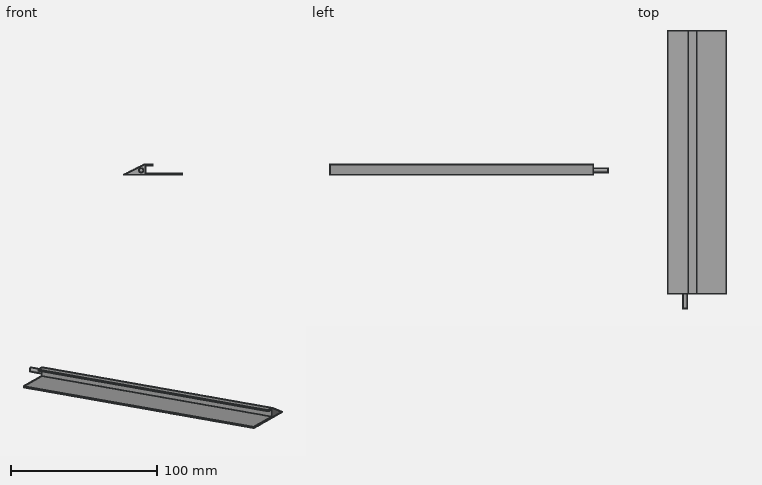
import cadquery as cq

total_length = 190.0
base_width = 40.0
height = 7.0
sheet_thickness = 1.0
ridge_x = 14.0
wall_x = 15.0
lip_end_x = 19.8
pin_diameter = 3.0
pin_length = 10.0
pin_x = 12.0
pin_z = 3.0

body_length = total_length - pin_length


def make_body():
    """Wedge with a long base flange and a short upper lip, extruded along Y."""
    lip_underside = height - sheet_thickness
    outline = [
        (0, 0),
        (base_width, 0),
        (base_width, sheet_thickness),
        (wall_x, sheet_thickness),
        (wall_x, lip_underside),
        (lip_end_x, lip_underside),
        (lip_end_x, height),
        (ridge_x, height),
    ]
    return cq.Workplane("XZ").polyline(outline).close().extrude(-body_length)


def make_pin():
    """Round pin standing out of the wedge's end face, toward -Y."""
    return (
        cq.Workplane("XZ")
        .center(pin_x, pin_z)
        .circle(pin_diameter / 2)
        .extrude(pin_length)
    )


result = make_body().union(make_pin())